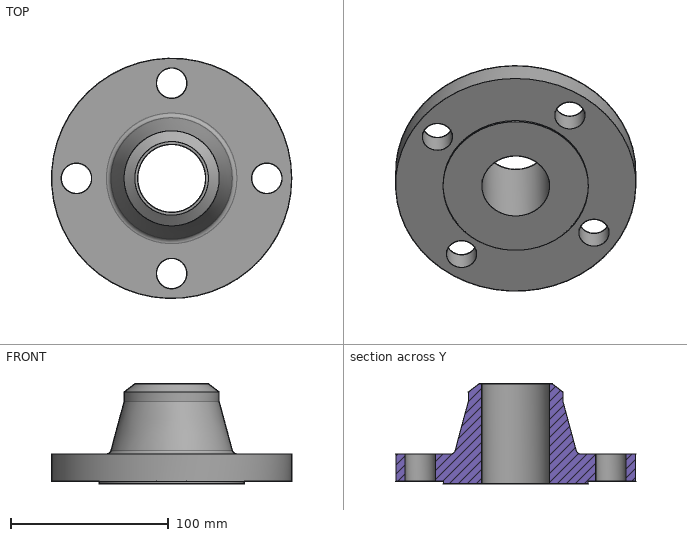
import cadquery as cq
import math

flange_diameter = 152.4
flange_thickness = 17.5
raised_face_diameter = 92.1
raised_face_height = 1.6

bolt_circle_diameter = 120.7
bolt_hole_diameter = 19.1
bolt_hole_count = 4

overall_height = 63.56
hub_base_diameter = 78.2
hub_fillet_radius = 3.0
neck_diameter = 60.3
weld_bevel_angle = 37.5
weld_land = 1.9
neck_straight_length = 6.0
bore_diameter = 42.9

plate_top = raised_face_height + flange_thickness
bevel_top_radius = bore_diameter / 2 + weld_land
bevel_width = neck_diameter / 2 - bevel_top_radius
bevel_height = bevel_width * math.tan(math.radians(weld_bevel_angle))
bevel_bottom = overall_height - bevel_height
taper_top = bevel_bottom - neck_straight_length


def make_body():
    """Revolve the plate, raised face, hub and neck around Z, with the hub root filleted."""
    profile = (
        cq.Workplane("XZ")
        .moveTo(0, 0)
        .lineTo(raised_face_diameter / 2, 0)
        .lineTo(raised_face_diameter / 2, raised_face_height)
        .lineTo(flange_diameter / 2, raised_face_height)
        .lineTo(flange_diameter / 2, plate_top)
        .lineTo(hub_base_diameter / 2, plate_top)
        .lineTo(neck_diameter / 2, taper_top)
        .lineTo(neck_diameter / 2, bevel_bottom)
        .lineTo(bevel_top_radius, overall_height)
        .lineTo(0, overall_height)
        .close()
    )
    body = profile.revolve(360, (0, 0, 0), (0, 1, 0))
    plate_top_point = (bolt_circle_diameter / 2, 0, plate_top)
    plate_top_face = body.faces(cq.selectors.NearestToPointSelector(plate_top_point))
    hub_root_edge = plate_top_face.edges(cq.selectors.RadiusNthSelector(0))
    return hub_root_edge.fillet(hub_fillet_radius)


def cut_bore(body):
    """Cut the straight pipe bore through the full height."""
    bore = cq.Workplane("XY").circle(bore_diameter / 2).extrude(overall_height)
    return body.cut(bore)


def cut_bolt_holes(body):
    """Cut the bolt holes, evenly spaced on the bolt circle and starting on +X."""
    holes = (
        cq.Workplane("XY")
        .polarArray(bolt_circle_diameter / 2, 0, 360, bolt_hole_count)
        .circle(bolt_hole_diameter / 2)
        .extrude(plate_top)
    )
    return body.cut(holes)


result = cut_bolt_holes(cut_bore(make_body()))